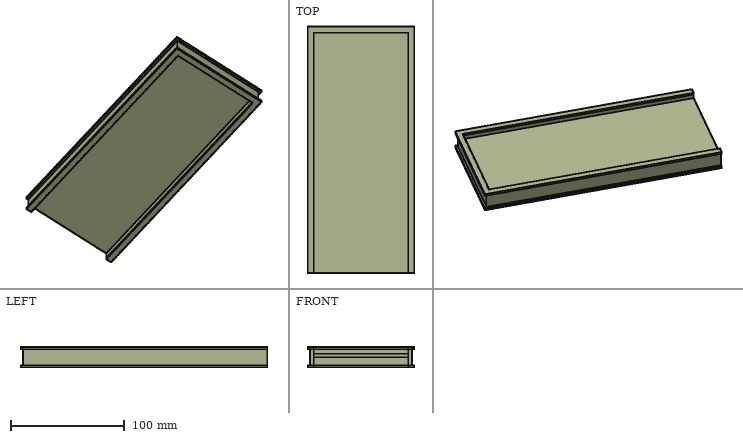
import cadquery as cq

width = 94.0
length = 217.0
height = 18.0

flange_thickness = 2.0
flange_overhang = 2.0
wall_thickness = 3.5
panel_thickness = 3.0
panel_bottom = 9.0

rim_width = flange_overhang + wall_thickness
inner_width = width - 2 * rim_width
inner_length = length - rim_width
wall_height = height - 2 * flange_thickness


def block(block_width, block_length, block_height, bottom):
    """Block centred on X, running back from the open front end at Y = 0."""
    return (
        cq.Workplane("XY", origin=(0, 0, bottom))
        .box(block_width, block_length, block_height, centered=(True, False, False))
    )


def three_sided_frame(inset, frame_height, bottom):
    """Frame open at the front, its outer faces set in from the overall outline."""
    outside = block(width - 2 * inset, length - inset, frame_height, bottom)
    opening = block(inner_width, inner_length, frame_height, bottom)
    return outside.cut(opening)


wall = three_sided_frame(flange_overhang, wall_height, flange_thickness)

flanges = [
    three_sided_frame(0, flange_thickness, bottom)
    for bottom in (0, height - flange_thickness)
]

panel = block(inner_width, inner_length, panel_thickness, panel_bottom)

result = cq.Compound.makeCompound(
    [wall.val(), *[flange.val() for flange in flanges], panel.val()]
)